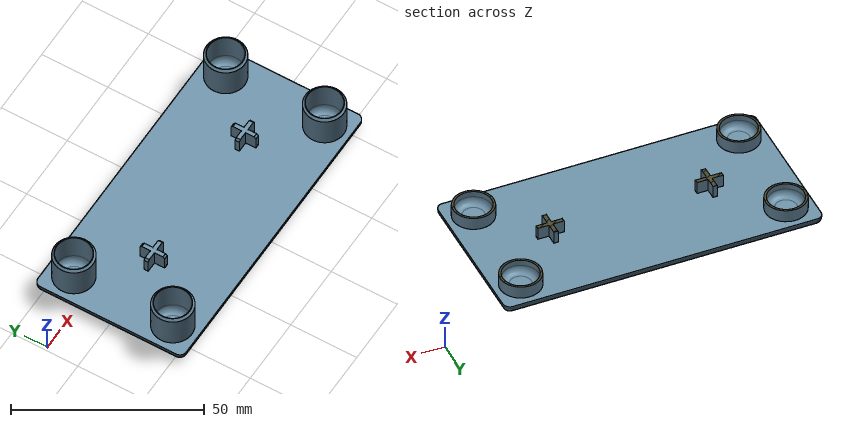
import cadquery as cq

plate_length = 90.0
plate_width = 45.0
plate_thickness = 2.5
corner_radius = 2.0
bottom_fillet = 2.0

total_height = 12.2
post_height = total_height - plate_thickness
post_diameter = 11.5
bore_diameter = 10.0
post_chamfer = 0.6
bore_floor_fillet = 2.0
post_inset = plate_width / 6
post_spacing_x = plate_length - 2 * post_inset
post_spacing_y = plate_width - 2 * post_inset

cross_span = 7.5
cross_thickness = 1.3
cross_height = 4.5
cross_chamfer = 0.5
cross_spacing = plate_length / 2


def make_plate():
    """Rounded rectangle with a rounded lower rim."""
    plate = cq.Workplane("XY").box(
        plate_length, plate_width, plate_thickness, centered=(True, True, False)
    )
    plate = plate.edges("|Z").fillet(corner_radius)
    return plate.faces("<Z").edges().fillet(bottom_fillet)


def make_post():
    """Tube whose blind bore blends into the plate's top face."""
    post = cq.Workplane("XY").circle(post_diameter / 2).extrude(post_height)
    post = post.faces(">Z").chamfer(post_chamfer)
    bore = cq.Workplane("XY").circle(bore_diameter / 2).extrude(post_height)
    bore = bore.faces("<Z").edges().fillet(bore_floor_fillet)
    return post.cut(bore)


def make_cross():
    """Two crossed ribs with chamfered upper ends."""
    rib = cq.Workplane("XY").box(
        cross_span, cross_thickness, cross_height, centered=(True, True, False)
    )
    rib = rib.faces(">Z").edges("|Y").chamfer(cross_chamfer)
    return rib.union(rib.rotate((0, 0, 0), (0, 0, 1), 90))


result = make_plate()

post = make_post()
for side_x in (-1, 1):
    for side_y in (-1, 1):
        post_place = (side_x * post_spacing_x / 2, side_y * post_spacing_y / 2, plate_thickness)
        result = result.union(post.translate(post_place))

cross = make_cross()
for side_x in (-1, 1):
    result = result.union(cross.translate((side_x * cross_spacing / 2, 0, plate_thickness)))